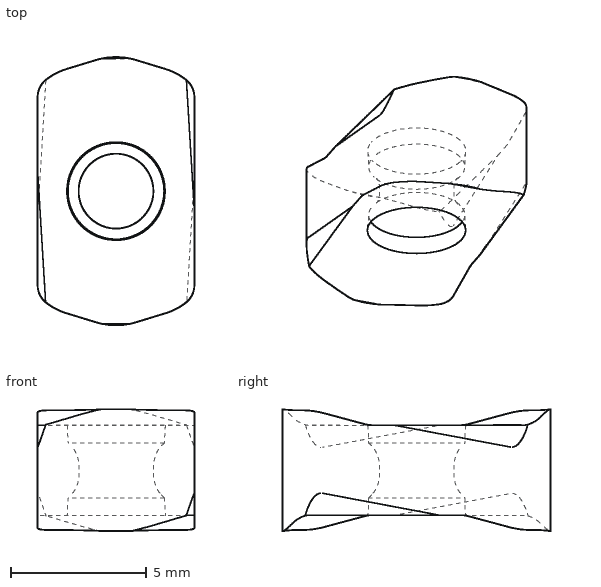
import cadquery as cq
import math

WIDTH = 5.8
LENGTH = 9.92
HEIGHT = 4.5
SEAT_Z = 1.67

NOSE_X = 0.73
EDGE_ANGLE = 17.0
SHOULDER_X = 1.81
SHOULDER_RADIUS = 2.33
CORNER_X = 2.58
CORNER_Y = 4.13
SIDE_Y = 3.47
CORNER_RADIUS = 0.84

CREASE_ANGLE = 21.0
CREASE_Y = 1.65
RAMP_RUN = 2.58
BLEND_RUN = 0.25
RAMP_SECTIONS = [
    (-4.56, 0.0, 0.1109),
    (-2.48, 0.03, 0.1815),
    (-1.79, 0.1, 0.1008),
    (-0.99, 0.14, 0.05645),
    (0.5, 0.23, 0.01008),
    (1.49, 0.29, 0.0),
    (2.78, 0.29, 0.0),
]

RELIEF_START_Y = 0.85
RELIEF_LOW_Z = 0.85
RELIEF_END_X = 2.61
RELIEF_END_Y = 3.97

BORE_DIAMETER = 2.76
RECESS_DIAMETER = 3.63
RECESS_FLOOR_DIAMETER = 3.55
RECESS_FLOOR_Z = 1.01
BORE_HALF_HEIGHT = 0.16

CLEARANCE = 0.99
half_width = WIDTH / 2
half_length = LENGTH / 2
cut_top = HEIGHT / 2 + CLEARANCE


def arc_middle(start, end, radius):
    """Middle of the arc from start to end that bulges to the left of travel."""
    dx = end[0] - start[0]
    dy = end[1] - start[1]
    chord = math.hypot(dx, dy)
    sagitta = radius - math.sqrt(radius ** 2 - chord ** 2 / 4)
    middle_x = (start[0] + end[0]) / 2 - dy / chord * sagitta
    middle_y = (start[1] + end[1]) / 2 + dx / chord * sagitta
    return middle_x, middle_y


def make_body():
    slope = math.tan(math.radians(EDGE_ANGLE))
    nose_y = half_length - NOSE_X * math.tan(math.radians(EDGE_ANGLE / 2))
    nose = (NOSE_X, nose_y)
    shoulder = (SHOULDER_X, nose_y - (SHOULDER_X - NOSE_X) * slope)
    corner = (CORNER_X, CORNER_Y)
    side = (half_width, SIDE_Y)
    shoulder_middle = arc_middle(shoulder, corner, SHOULDER_RADIUS)
    corner_middle = arc_middle(corner, side, CORNER_RADIUS)

    def turned(point, sx, sy):
        return sx * point[0], sy * point[1]

    outline = cq.Workplane("XY", origin=(0, 0, -HEIGHT / 2)).moveTo(*turned(nose, -1, 1))
    for s in (1, -1):
        outline = (
            outline.threePointArc((0, s * half_length), turned(nose, s, s))
            .lineTo(*turned(shoulder, s, s))
            .threePointArc(turned(shoulder_middle, s, s), turned(corner, s, s))
            .threePointArc(turned(corner_middle, s, s), turned(side, s, s))
            .lineTo(*turned(side, s, -s))
            .threePointArc(turned(corner_middle, s, -s), turned(corner, s, -s))
            .threePointArc(turned(shoulder_middle, s, -s), turned(shoulder, s, -s))
            .lineTo(*turned(nose, s, -s))
        )
    return outline.close().extrude(HEIGHT)


def ramp_section(plane, slope, curvature):
    """Closed profile above the ramp, leaving the seat tangentially at the crease."""

    def profile_point(run):
        blend = min(run, BLEND_RUN)
        rise = slope * (run - blend + blend ** 2 / (2 * BLEND_RUN)) + curvature * run ** 2
        return run, SEAT_Z + rise

    blend_end = profile_point(BLEND_RUN)
    ramp_middle = profile_point((BLEND_RUN + RAMP_RUN) / 2)
    section_top = cut_top + CLEARANCE
    return (
        cq.Workplane(plane)
        .moveTo(*profile_point(0))
        .spline([profile_point(BLEND_RUN / 2), blend_end], includeCurrent=True)
        .spline([ramp_middle, profile_point(RAMP_RUN)], includeCurrent=True)
        .lineTo(RAMP_RUN, section_top)
        .lineTo(0, section_top)
        .close()
        .val()
    )


def make_ramp_cutter():
    """Space above the seat half and the ramp at the -Y end."""
    angle = math.radians(CREASE_ANGLE)
    along = cq.Vector(math.cos(angle), math.sin(angle), 0)
    outward = cq.Vector(math.sin(angle), -math.cos(angle), 0)
    crease_point = cq.Vector(half_width, -CREASE_Y, 0)
    crease_foot = outward * crease_point.dot(outward)

    sections = []
    for distance, slope, curvature in RAMP_SECTIONS:
        origin = crease_foot + along * distance
        plane = cq.Plane(origin=origin, xDir=outward, normal=outward.cross(cq.Vector(0, 0, 1)))
        sections.append(ramp_section(plane, slope, curvature))
    ramp = cq.Solid.makeLoft(sections)

    seat_plane = cq.Plane(origin=(0, 0, SEAT_Z), xDir=along, normal=(0, 0, 1))
    seat_depth = crease_foot.Length
    seat = (
        cq.Workplane(seat_plane)
        .center(0, -seat_depth / 2)
        .rect(LENGTH, seat_depth)
        .extrude(HEIGHT)
    )
    return seat.union(cq.Workplane(ramp))


def make_relief_cutter():
    """Space outside the relief plane on the -X side, towards -Y."""
    start = cq.Vector(-half_width, RELIEF_START_Y, SEAT_Z)
    low = cq.Vector(-half_width, -SIDE_Y, RELIEF_LOW_Z)
    end = cq.Vector(-RELIEF_END_X, -RELIEF_END_Y, SEAT_Z)
    normal = (low - start).cross(end - start)
    plane = cq.Plane(origin=start, xDir=low - start, normal=normal)
    return cq.Workplane(plane).rect(2 * LENGTH, 2 * LENGTH).extrude(LENGTH)


def make_hole():
    """Bore with a rounded seat and a slightly tapered recess at both ends."""
    bore_radius = BORE_DIAMETER / 2
    recess_radius = RECESS_DIAMETER / 2
    floor_radius = RECESS_FLOOR_DIAMETER / 2
    seat_rise = RECESS_FLOOR_Z - BORE_HALF_HEIGHT
    seat_run = floor_radius - bore_radius
    seat_radius = (seat_run ** 2 + seat_rise ** 2) / (2 * seat_run)
    half_sweep = math.asin(seat_rise / seat_radius) / 2
    middle_r = bore_radius + seat_radius * (1 - math.cos(half_sweep))
    middle_z = BORE_HALF_HEIGHT + seat_radius * math.sin(half_sweep)
    return (
        cq.Workplane("XZ")
        .moveTo(0, -cut_top)
        .lineTo(recess_radius, -cut_top)
        .lineTo(recess_radius, -SEAT_Z)
        .lineTo(floor_radius, -RECESS_FLOOR_Z)
        .threePointArc((middle_r, -middle_z), (bore_radius, -BORE_HALF_HEIGHT))
        .lineTo(bore_radius, BORE_HALF_HEIGHT)
        .threePointArc((middle_r, middle_z), (floor_radius, RECESS_FLOOR_Z))
        .lineTo(recess_radius, SEAT_Z)
        .lineTo(recess_radius, cut_top)
        .lineTo(0, cut_top)
        .close()
        .revolve(360, (0, 0, 0), (0, 1, 0))
    )


result = make_body()
for cutter in (make_ramp_cutter(), make_relief_cutter()):
    for face_turn in (0, 180):
        for end_turn in (0, 180):
            placed = cutter.rotate((0, 0, 0), (0, 0, 1), end_turn)
            result = result.cut(placed.rotate((0, 0, 0), (0, 1, 0), face_turn))
result = result.cut(make_hole())